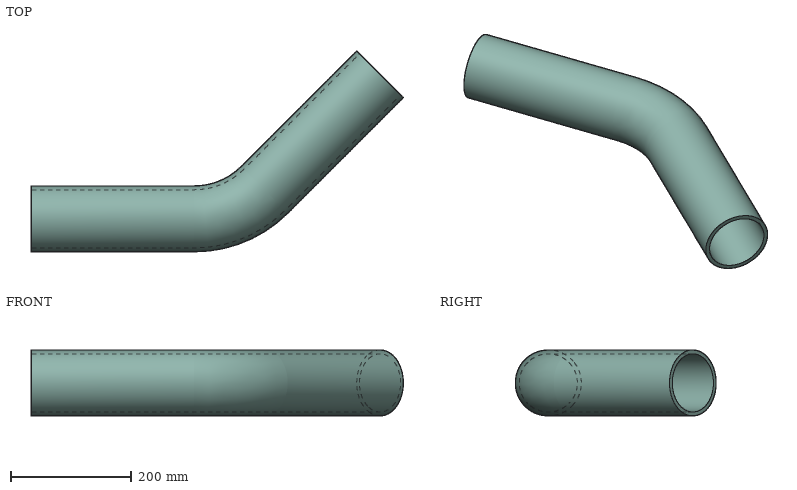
import cadquery as cq
import math

outer_diameter = 110.0
inner_diameter = 96.8
bend_angle = 45.0
bend_radius = 1.5 * outer_diameter
corner_to_end = 340.0

bend_setback = bend_radius * math.tan(math.radians(bend_angle / 2))
leg_length = corner_to_end - bend_setback


def pipe_section(plane):
    """Ring-shaped pipe cross-section on the given plane."""
    return cq.Workplane(plane).circle(outer_diameter / 2).circle(inner_diameter / 2)


def straight_leg(start, direction):
    """Straight pipe that begins at start and runs along direction."""
    plane = cq.Plane(origin=start, xDir=(0, 0, 1), normal=direction)
    return pipe_section(plane).extrude(leg_length)


def bend(start):
    """Pipe bend that leaves start along +X and turns towards +Y."""
    plane = cq.Plane(origin=start, xDir=(0, 1, 0), normal=(1, 0, 0))
    axis_start = (bend_radius, 0, 0)
    axis_end = (bend_radius, 1, 0)
    return pipe_section(plane).revolve(bend_angle, axis_start, axis_end)


outlet_direction = (
    math.cos(math.radians(bend_angle)),
    math.sin(math.radians(bend_angle)),
    0,
)
bend_start = (-bend_setback, 0, 0)
bend_end = tuple(bend_setback * component for component in outlet_direction)

inlet_leg = straight_leg(bend_start, (-1, 0, 0))
outlet_leg = straight_leg(bend_end, outlet_direction)

result = inlet_leg.union(bend(bend_start)).union(outlet_leg)